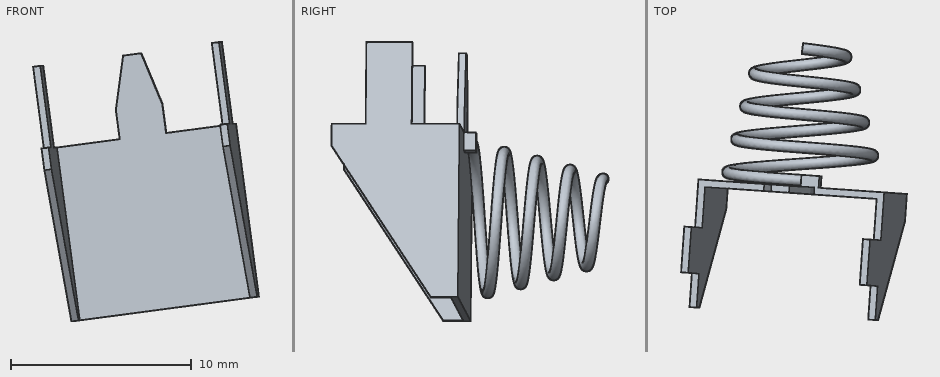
import cadquery as cq
import math

sheet = 0.4
plate_width = 10.4
plate_height = 9.66
tab_height = 4.56
top_level = plate_height + tab_height

wall_depth = 7.1
wall_foot_depth = 1.52
wall_front_edge = 1.22
tab_start = 2.66
tab_length = 2.55

blade_width = 2.6
blade_tip_width = 1.0
blade_shoulder = 1.62

lug_size = 1.0
lug_thickness = 0.65
lug_start = 5.72

tilt = -7.55
yaw = -4.0

wire_diameter = 0.62
spring_x = 4.5
spring_z = 5.6
spring_start_y = 0.03
spring_pitch = 1.82
spring_turns = 4
spring_start_radius = 4.27
radius_loss_per_turn = 0.5
lead_in_turns = 0.015


def make_back_plate():
    """Back plate with the tapered blade rising from its top edge."""
    plate = cq.Workplane("XY").box(plate_width, sheet, plate_height, centered=False)
    plate = plate.translate((0, -sheet, 0))
    middle = plate_width / 2
    shoulder_level = plate_height + blade_shoulder
    blade = (
        cq.Workplane("XZ")
        .moveTo(middle - blade_width / 2, 0)
        .lineTo(middle - blade_width / 2, shoulder_level)
        .lineTo(middle - blade_tip_width / 2, top_level)
        .lineTo(middle + blade_tip_width / 2, top_level)
        .lineTo(middle + blade_width / 2, shoulder_level)
        .lineTo(middle + blade_width / 2, 0)
        .close()
        .extrude(sheet)
    )
    return plate.union(blade)


def make_side_wall(left):
    """Side wall with a sloping front and an upright tab, its left face at x = left."""
    tab_end = tab_start + tab_length
    return (
        cq.Workplane("YZ", origin=(left, 0, 0))
        .moveTo(0, 0)
        .lineTo(0, plate_height)
        .lineTo(-tab_start, plate_height)
        .lineTo(-tab_start, top_level)
        .lineTo(-tab_end, top_level)
        .lineTo(-tab_end, plate_height)
        .lineTo(-wall_depth, plate_height)
        .lineTo(-wall_depth, plate_height - wall_front_edge)
        .lineTo(-wall_foot_depth, 0)
        .close()
        .extrude(sheet)
    )


def make_lug():
    """Block on the back of the plate, flush with its top edge."""
    depth = lug_thickness + sheet
    lug = cq.Workplane("XY").box(lug_size, depth, lug_size, centered=False)
    return lug.translate((lug_start, -sheet, plate_height - lug_size))


def spring_point(turn):
    """Centre of the wire after the given number of turns from the top."""
    angle = 2 * math.pi * turn
    radius = spring_start_radius - radius_loss_per_turn * turn
    return cq.Vector(
        spring_x - radius * math.sin(angle),
        spring_start_y + spring_pitch * turn,
        spring_z + radius * math.cos(angle),
    )


def make_spring():
    """Round wire swept along a helix that narrows away from the bracket."""
    path = cq.Workplane("XY").parametricCurve(
        lambda t: spring_point(t).toTuple(),
        N=100,
        start=-lead_in_turns,
        stop=spring_turns,
    )
    spine = path.val()
    profile_plane = cq.Plane(origin=spine.positionAt(0), xDir=(0, 0, 1), normal=spine.tangentAt(0))
    return cq.Workplane(profile_plane).circle(wire_diameter / 2).sweep(path, isFrenet=True)


bracket = make_back_plate().union(make_lug())
for wall_left in (0, plate_width - sheet):
    bracket = bracket.union(make_side_wall(wall_left))
bracket = bracket.rotate((0, 0, 0), (0, 1, 0), tilt).rotate((0, 0, 0), (0, 0, 1), yaw)

result = bracket.union(make_spring())